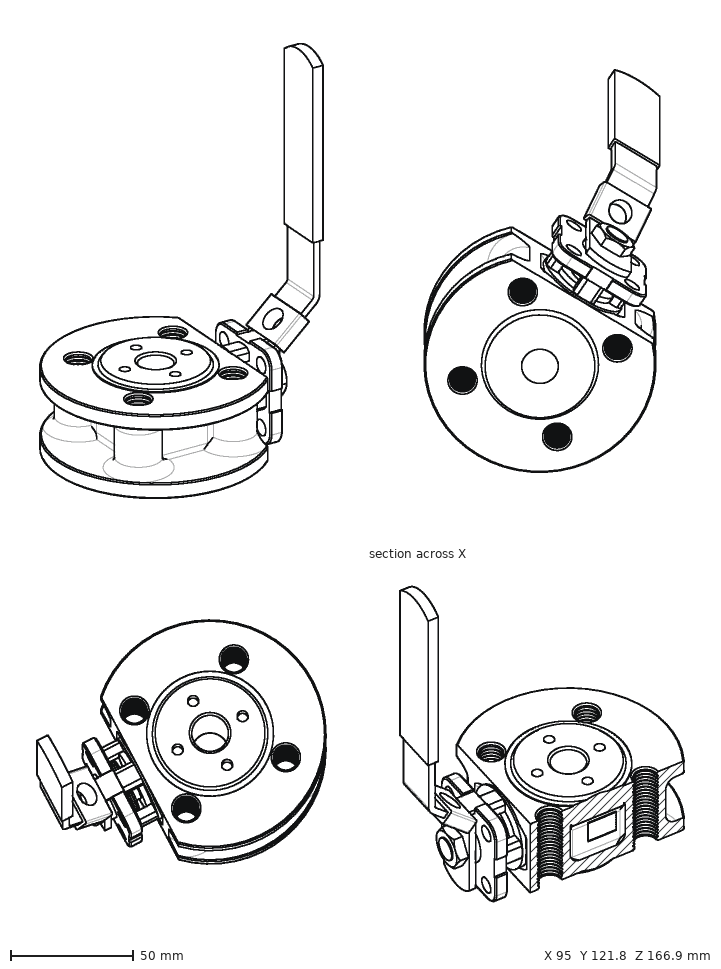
import cadquery as cq
import math


quarter_turns = (0, 90, 180, 270)

flange_radius = 47.5
flange_outer_z = 19.0
flange_inner_z = 12.0
flange_flat_y = 32.5
flange_chamfer = 0.6

face_z = 21.2
face_top_radius = 22.5
face_base_radius = 24.0
top_step_radius = 26.0
top_step_height = 0.5
bore_diameter = 15.0
bore_chamfer = 1.0

pin_hole_diameter = 4.5
pin_hole_pitch_radius = 15.0
pin_hole_depth = 6.0
drill_tip_angle = 118.0

bolt_circle_diameter = 65.0
bolt_offset = bolt_circle_diameter / 2 * math.sqrt(0.5)
thread_major_radius = 6.0
thread_minor_radius = 5.2
thread_pitch = 1.75
thread_crest = 0.1 * thread_pitch
column_diameter = 19.73
column_radius = column_diameter / 2
column_fillet = 4.7

body_half_width = 21.5
body_foot_fillet = 1.7
wall_blend_radius = 1.7
wall_half_width = 12.6
shoulder_angle = 45.0
shoulder_bend_z = 7.9
shoulder_low_z = 4.5
pad_y_min = -9.6
pad_y_max = 3.9
pad_half_height = 5.0
pad_thickness = 0.5

neck_radius = 18.6
neck_top_y = 33.4
plate_half = 21.3
plate_bottom_y = 42.2
plate_top_y = 48.2
plate_corner_radius = 6.6
plate_edge_chamfer = 0.6
plate_notch_depth = 1.1
strip_half_width = 5.0
plate_hole_diameter = 7.0
plate_hole_circle = 40.0
plate_hole_offset = plate_hole_circle / 2 * math.sqrt(0.5)
leg_base_y = flange_flat_y - 1
leg_inner = 12.4
leg_shoulder = 16.1
leg_outer = 18.2
leg_flat_half_width = 3.2
leg_back_bulge = 0.3
tongue_thickness = 2.0

gland_disc_diameter = 26.0
gland_disc_top_y = 35.8
packing_diameter = 15.0
washer_diameter = 22.0
washer_count = 3
washer_bottom_y = 38.5
washer_pitch = 0.95
washer_gap = 0.15
collar_diameter = 19.73
stem_diameter = 10.0
stem_top_y = 59.2
nut_across_flats = 16.0
nut_top_y = 58.6
nut_chamfer_height = 0.9

lever_thickness = 3.0
lever_width = 20.0
lever_bottom_z = -22.0
lever_foot_y = 50.8
lever_angle = 42.0
upper_bend_z = 35.7
lever_bend_radius = 2.0
grip_wall = 1.0
grip_outer_y = 74.27
grip_bottom_z = 61.4
grip_top_z = 144.9
end_rise = 4.2
sleeve_width = 22.8
sleeve_thickness = 6.8
sleeve_length = 16.4
sleeve_center_y = 59.2
sleeve_center_z = 23.2
sleeve_hole_diameter = 10.0
sleeve_fillet = 0.8


def z_cylinder(radius, z_min, z_max):
    return cq.Workplane("XY").workplane(offset=z_min).circle(radius).extrude(z_max - z_min)


def y_cylinder(radius, y_min, y_max):
    return cq.Workplane("XZ", origin=(0, y_min, 0)).circle(radius).extrude(y_min - y_max)


def box(x_min, x_max, y_min, y_max, z_min, z_max):
    block = cq.Workplane("XY").box(x_max - x_min, y_max - y_min, z_max - z_min, centered=False)
    return block.translate((x_min, y_min, z_min))


def bolt_points():
    return [(sx * bolt_offset, sy * bolt_offset) for sx in (-1, 1) for sy in (-1, 1)]


def beyond_flat():
    """Block covering everything past the flat on the stem side of the flanges."""
    return box(-flange_radius, flange_radius, flange_flat_y, flange_radius + 1, -face_z, face_z)


def make_flange(z_min):
    disc = z_cylinder(flange_radius, z_min, z_min + flange_outer_z - flange_inner_z)
    disc = disc.edges().chamfer(flange_chamfer)
    return disc.cut(beyond_flat())


def make_sealing_faces():
    cone_profile = [
        (0, 0),
        (face_base_radius, 0),
        (face_base_radius, flange_outer_z),
        (face_top_radius, face_z),
        (0, face_z),
    ]
    cone = cq.Workplane("XZ").polyline(cone_profile).close().revolve(360, (0, 0), (0, 1))
    cone = cone.intersect(z_cylinder(flange_radius, flange_inner_z, face_z))
    step = z_cylinder(top_step_radius, flange_inner_z, flange_outer_z + top_step_height)
    return cone.union(cone.mirror("XY")).union(step)


def make_column():
    """Round column flaring into both flanges with a concave fillet."""
    foot_radius = column_radius + column_fillet
    straight_z = flange_inner_z - column_fillet
    arc_mid = column_fillet * (1 - math.sqrt(0.5))
    profile = (
        cq.Workplane("XZ")
        .moveTo(0, -flange_inner_z)
        .lineTo(foot_radius, -flange_inner_z)
        .threePointArc((column_radius + arc_mid, arc_mid - flange_inner_z), (column_radius, -straight_z))
        .lineTo(column_radius, straight_z)
        .threePointArc((column_radius + arc_mid, flange_inner_z - arc_mid), (foot_radius, flange_inner_z))
        .lineTo(0, flange_inner_z)
        .close()
    )
    return profile.revolve(360, (0, 0), (0, 1))


def make_shoulder():
    """Flare under the upper flange and small foot on the lower one, on the -Y wall."""
    bend_height = shoulder_bend_z - shoulder_low_z
    full_turn = math.radians(shoulder_angle)
    half_turn = full_turn / 2
    bend_radius = bend_height / math.sin(full_turn)
    bend_out = bend_radius * (1 - math.cos(full_turn))
    flare_out = (flange_inner_z - shoulder_bend_z) * math.tan(full_turn)
    wall_y = -body_half_width
    bend_y = wall_y - bend_out
    foot_mid = body_foot_fillet * (1 - math.sqrt(0.5))
    profile = (
        cq.Workplane("YZ", origin=(-wall_half_width, 0, 0))
        .moveTo(0, -flange_inner_z)
        .lineTo(wall_y - body_foot_fillet, -flange_inner_z)
        .threePointArc(
            (wall_y - foot_mid, foot_mid - flange_inner_z),
            (wall_y, body_foot_fillet - flange_inner_z),
        )
        .lineTo(wall_y, shoulder_low_z)
        .threePointArc(
            (
                wall_y - bend_radius * (1 - math.cos(half_turn)),
                shoulder_low_z + bend_radius * math.sin(half_turn),
            ),
            (bend_y, shoulder_bend_z),
        )
        .lineTo(bend_y - flare_out, flange_inner_z)
        .lineTo(0, flange_inner_z)
        .close()
    )
    return profile.extrude(2 * wall_half_width)


def turn_clockwise(x, y, degrees):
    angle = math.radians(degrees)
    return (x * math.cos(angle) + y * math.sin(angle), y * math.cos(angle) - x * math.sin(angle))


def make_core():
    """Square core with concave blends from its walls to the columns; its points reach the column axes."""
    rise = body_half_width + wall_blend_radius - bolt_offset
    reach = column_radius + wall_blend_radius
    run = math.sqrt(reach**2 - rise**2)
    blend_center = (bolt_offset - run, body_half_width + wall_blend_radius)
    touch = column_radius / reach
    column_touch = (bolt_offset - touch * run, bolt_offset + touch * rise)
    mid_angle = (math.atan2(-rise, run) - math.pi / 2) / 2
    blend_mid = (
        blend_center[0] + wall_blend_radius * math.cos(mid_angle),
        blend_center[1] + wall_blend_radius * math.sin(mid_angle),
    )
    outline = cq.Workplane("XY", origin=(0, 0, -flange_inner_z)).moveTo(-bolt_offset, bolt_offset)
    for turn in quarter_turns:

        def turned(x, y):
            return turn_clockwise(x, y, turn)

        outline = (
            outline.lineTo(*turned(-column_touch[0], column_touch[1]))
            .threePointArc(turned(-blend_mid[0], blend_mid[1]), turned(-blend_center[0], body_half_width))
            .lineTo(*turned(blend_center[0], body_half_width))
            .threePointArc(turned(*blend_mid), turned(*column_touch))
        )
        if turn != quarter_turns[-1]:
            outline = outline.lineTo(*turned(bolt_offset, bolt_offset))
    return outline.close().extrude(2 * flange_inner_z)


def make_body():
    core = make_core()
    column = make_column()
    for x, y in bolt_points():
        core = core.union(column.translate((x, y, 0)))
    shoulder = make_shoulder()
    for turn in quarter_turns:
        core = core.union(shoulder.rotate((0, 0, 0), (0, 0, 1), turn))
    label_pad = box(
        -body_half_width - pad_thickness, 0, pad_y_min, pad_y_max, -pad_half_height, pad_half_height
    )
    core = core.union(label_pad).cut(beyond_flat())
    core = core.union(make_flange(flange_inner_z)).union(make_flange(-flange_outer_z))
    return core.union(make_sealing_faces())


def make_thread_cutter():
    """Drill with V-shaped ring grooves along its whole length."""
    points = [(0, -flange_outer_z), (thread_major_radius, -flange_outer_z)]
    thread_depth = thread_major_radius - thread_minor_radius
    lead_z = flange_outer_z - thread_depth
    points.append((thread_minor_radius, -lead_z))
    groove_count = int(2 * lead_z / thread_pitch)
    margin = (2 * lead_z - groove_count * thread_pitch) / 2
    for i in range(groove_count):
        groove_z = -lead_z + margin + i * thread_pitch
        points.append((thread_minor_radius, groove_z + thread_crest))
        points.append((thread_major_radius, groove_z + thread_pitch / 2))
        points.append((thread_minor_radius, groove_z + thread_pitch - thread_crest))
    points += [(thread_minor_radius, lead_z), (thread_major_radius, flange_outer_z)]
    points += [(thread_major_radius, face_z), (0, face_z)]
    return cq.Workplane("XZ").polyline(points).close().revolve(360, (0, 0), (0, 1))


def cut_holes(valve):
    bore_radius = bore_diameter / 2
    valve = valve.cut(z_cylinder(bore_radius, -face_z, face_z))
    mouth = cq.Workplane("XY").workplane(offset=face_z).circle(bore_radius + bore_chamfer)
    mouth = mouth.extrude(-bore_chamfer, taper=45)
    valve = valve.cut(mouth)
    thread_cutter = make_thread_cutter()
    for x, y in bolt_points():
        valve = valve.cut(thread_cutter.translate((x, y, 0)))
    pin_radius = pin_hole_diameter / 2
    tip_depth = pin_hole_depth + pin_radius / math.tan(math.radians(drill_tip_angle / 2))
    drill = (
        cq.Workplane("XZ")
        .polyline(
            [
                (0, face_z),
                (pin_radius, face_z),
                (pin_radius, face_z - pin_hole_depth),
                (0, face_z - tip_depth),
            ]
        )
        .close()
        .revolve(360, (0, 0), (0, 1))
        .translate((pin_hole_pitch_radius, 0, 0))
    )
    for turn in quarter_turns:
        valve = valve.cut(drill.rotate((0, 0, 0), (0, 0, 1), turn))
    return valve


def make_leg():
    """Leg on the +X side of the stem, with chamfered flanks and a rounded back."""
    profile = (
        cq.Workplane("XZ", origin=(0, leg_base_y, 0))
        .moveTo(leg_inner, -strip_half_width)
        .lineTo(leg_shoulder, -strip_half_width)
        .lineTo(leg_outer - leg_back_bulge, -leg_flat_half_width)
        .threePointArc((leg_outer, 0), (leg_outer - leg_back_bulge, leg_flat_half_width))
        .lineTo(leg_shoulder, strip_half_width)
        .lineTo(leg_inner, strip_half_width)
        .close()
    )
    return profile.extrude(leg_base_y - plate_bottom_y)


def make_mount():
    thickness = plate_top_y - plate_bottom_y
    plate = cq.Workplane("XZ", origin=(0, plate_bottom_y, 0))
    plate = plate.rect(2 * plate_half, 2 * plate_half).extrude(-thickness)
    plate = plate.edges("|Y").fillet(plate_corner_radius)
    plate = plate.faces("<Y or >Y").edges().chamfer(plate_edge_chamfer)
    holes = (
        cq.Workplane("XZ", origin=(0, plate_bottom_y, 0))
        .rect(2 * plate_hole_offset, 2 * plate_hole_offset, forConstruction=True)
        .vertices()
        .circle(plate_hole_diameter / 2)
        .extrude(-thickness)
    )
    plate = plate.cut(holes)
    notch_floor = plate_half - plate_notch_depth
    mount = plate.union(y_cylinder(neck_radius, 0, neck_top_y))
    notch = box(
        notch_floor, plate_half, plate_bottom_y, plate_top_y, -strip_half_width, strip_half_width
    )
    leg = make_leg()
    for turn in quarter_turns:
        mount = mount.cut(notch.rotate((0, 0, 0), (0, 1, 0), turn))
        mount = mount.union(leg.rotate((0, 0, 0), (0, 1, 0), turn))
    tongue = box(
        -strip_half_width, strip_half_width,
        plate_bottom_y, lever_foot_y + lever_thickness / 2,
        notch_floor - tongue_thickness, notch_floor,
    )
    return mount.union(tongue)


def make_stem_stack():
    stack = y_cylinder(packing_diameter / 2, flange_flat_y, plate_top_y)
    stack = stack.union(y_cylinder(gland_disc_diameter / 2, flange_flat_y, gland_disc_top_y))
    for i in range(washer_count):
        washer_y = washer_bottom_y + i * washer_pitch
        washer = y_cylinder(washer_diameter / 2, washer_y, washer_y + washer_pitch - washer_gap)
        stack = stack.union(washer)
    stack = stack.union(y_cylinder(collar_diameter / 2, plate_top_y, lever_foot_y))
    stack = stack.union(y_cylinder(stem_diameter / 2, plate_top_y, stem_top_y))
    nut_bottom_y = lever_foot_y + lever_thickness
    across_corners = nut_across_flats / math.cos(math.radians(30))
    nut = cq.Workplane("XZ", origin=(0, nut_bottom_y, 0)).polygon(6, across_corners)
    nut = nut.extrude(nut_bottom_y - nut_top_y)
    turned_blank = y_cylinder(across_corners / 2, nut_bottom_y, nut_top_y)
    nut_chamfer_width = (across_corners - nut_across_flats) / 2
    turned_blank = turned_blank.faces(">Y").chamfer(nut_chamfer_height, nut_chamfer_width)
    return stack.union(nut.intersect(turned_blank))


def make_lever():
    slope = math.radians(lever_angle)
    upper_y = grip_outer_y - grip_wall - lever_thickness
    shift_z = lever_thickness * (1 - math.sin(slope)) / math.cos(slope)
    lower_bend_z = upper_bend_z - (upper_y - lever_foot_y) * math.tan(slope)
    strip_top_z = grip_top_z - 2 * end_rise
    profile = [
        (lever_foot_y, lever_bottom_z),
        (lever_foot_y + lever_thickness, lever_bottom_z),
        (lever_foot_y + lever_thickness, lower_bend_z - shift_z),
        (upper_y + lever_thickness, upper_bend_z - shift_z),
        (upper_y + lever_thickness, strip_top_z),
        (upper_y, strip_top_z),
        (upper_y, upper_bend_z),
        (lever_foot_y, lower_bend_z),
    ]
    half_width = lever_width / 2
    strip = cq.Workplane("YZ", origin=(-half_width, 0, 0)).polyline(profile).close()
    strip = strip.extrude(lever_width)
    bend_inner = cq.selectors.NearestToPointSelector((0, upper_y, upper_bend_z))
    bend_outer = cq.selectors.NearestToPointSelector((0, upper_y + lever_thickness, upper_bend_z - shift_z))
    strip = strip.edges("|X").edges(bend_inner).fillet(lever_bend_radius)
    strip = strip.edges("|X").edges(bend_outer).fillet(lever_bend_radius + lever_thickness)
    foot_outline = (
        cq.Workplane("XZ")
        .moveTo(-half_width, lever_bottom_z + end_rise)
        .threePointArc((0, lever_bottom_z), (half_width, lever_bottom_z + end_rise))
        .lineTo(half_width, grip_top_z)
        .lineTo(-half_width, grip_top_z)
        .close()
        .extrude(-grip_outer_y)
    )
    strip = strip.intersect(foot_outline)
    grip_half = half_width + grip_wall
    grip_inner_y = upper_y - grip_wall
    grip = (
        cq.Workplane("XZ", origin=(0, grip_inner_y, 0))
        .moveTo(-grip_half, grip_bottom_z)
        .lineTo(grip_half, grip_bottom_z)
        .lineTo(grip_half, grip_top_z - end_rise)
        .threePointArc((0, grip_top_z), (-grip_half, grip_top_z - end_rise))
        .close()
        .extrude(grip_inner_y - grip_outer_y)
    )
    return strip.union(grip)


def place_on_slope(shape):
    """Tilt a shape to the sloping part of the lever and move it to the sleeve centre."""
    tilted = shape.rotate((0, 0, 0), (1, 0, 0), lever_angle)
    return tilted.translate((0, sleeve_center_y, sleeve_center_z))


def make_sleeve():
    sleeve = cq.Workplane("XY").box(sleeve_width, sleeve_length, sleeve_thickness)
    return place_on_slope(sleeve.edges("|Y").fillet(sleeve_fillet))


def cut_lock_hole(lever):
    hole = z_cylinder(sleeve_hole_diameter / 2, -sleeve_thickness, sleeve_thickness)
    return lever.cut(place_on_slope(hole))


result = cut_holes(make_body().union(make_mount()))
result = result.union(make_stem_stack())
result = result.union(cut_lock_hole(make_lever().union(make_sleeve())))